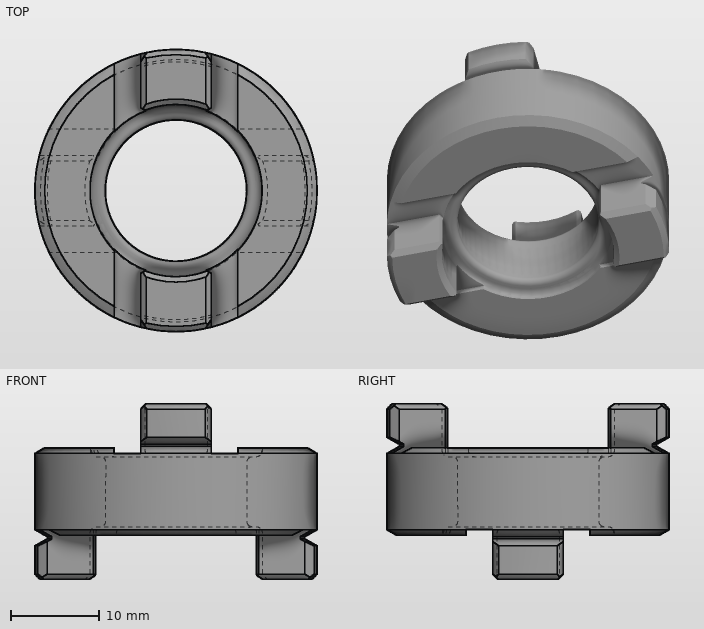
import cadquery as cq
import math

outer_radius = 16.0
total_height = 19.9
face_z = 4.95
rim_slope = math.tan(math.radians(30))
rim_chamfer_width = 1.12
rim_z = face_z - rim_chamfer_width * rim_slope

bore_radius = 8.0
counterbore_radius = 9.75
counterbore_depth = 1.0
floor_fillet = 0.7
bore_edge_fillet = 0.65

rebate_width = 14.0
lug_width = 8.0
lug_half_width = lug_width / 2
lug_top_z = total_height / 2
lug_chamfer = 0.6

inner_bevel_y = 9.38
outer_bevel_y = 14.6
inner_bevel_angle = math.radians(30)
outer_bevel_angle = math.radians(33)
bevel_cut_length = 1.92

groove_depth = 1.38
groove_floor_width = 0.25
groove_rise = groove_depth * rim_slope
groove_floor_z = rim_z + groove_rise
groove_floor_end_z = groove_floor_z + groove_floor_width


def revolve_section(section):
    """Close a section drawn in the XZ plane and revolve it about Z."""
    return section.close().revolve(360, (0, 0, 0), (0, 1, 0))


def make_disc():
    """Solid disc with its upper and lower rim chamfered."""
    rim_radius = outer_radius - rim_chamfer_width
    section = cq.Workplane("XZ").polyline([
        (0, -face_z),
        (rim_radius, -face_z),
        (outer_radius, -rim_z),
        (outer_radius, rim_z),
        (rim_radius, face_z),
        (0, face_z),
    ])
    return revolve_section(section)


def make_rebate():
    """Slot along Y that lowers the upper ring face to the rim level."""
    return cq.Workplane("XY").workplane(offset=rim_z).rect(rebate_width, 2 * outer_radius).extrude(face_z)


def make_bevel_cut(side_y, direction_x, direction_y, start_z):
    """Prism that bevels a vertical lug corner, from a point on the lug side along a direction."""
    end_x = lug_half_width + bevel_cut_length * direction_x
    end_y = side_y + bevel_cut_length * direction_y
    return (
        cq.Workplane("XY")
        .workplane(offset=start_z)
        .polyline([(lug_half_width, side_y), (end_x, end_y), (lug_half_width, end_y)])
        .close()
        .extrude(lug_top_z)
    )


def make_lug():
    """Upper lug on the +Y side, still reaching inwards to the bore."""
    end_profile = (
        cq.Workplane("XZ")
        .rect(lug_width, total_height)
        .extrude(-outer_radius)
        .edges("|Y and >Z")
        .chamfer(lug_chamfer)
    )
    section = cq.Workplane("XZ").polyline([
        (bore_radius, 0),
        (outer_radius, 0),
        (outer_radius, rim_z),
        (outer_radius - groove_depth, groove_floor_z),
        (outer_radius - groove_depth, groove_floor_end_z),
        (outer_radius, groove_floor_end_z + groove_rise),
        (outer_radius, lug_top_z - lug_chamfer),
        (outer_radius - lug_chamfer, lug_top_z),
        (bore_radius, lug_top_z),
    ])
    inner_bevel = make_bevel_cut(
        inner_bevel_y, -math.cos(inner_bevel_angle), -math.sin(inner_bevel_angle), rim_z
    )
    outer_bevel = make_bevel_cut(
        outer_bevel_y, -math.sin(outer_bevel_angle), math.cos(outer_bevel_angle), groove_floor_z
    )
    lug = end_profile.intersect(revolve_section(section))
    for bevel in (inner_bevel, outer_bevel):
        lug = lug.cut(bevel).cut(bevel.mirror("YZ"))
    return lug


def make_bore():
    """Upper half of the bore: rounded counterbore, lug inner faces and the chamfer at the lug tops."""
    floor_z = face_z - counterbore_depth
    floor_inner_radius = bore_radius + bore_edge_fillet
    floor_outer_radius = counterbore_radius - floor_fillet
    bore_end_z = floor_z - bore_edge_fillet
    wall_start_z = floor_z + floor_fillet
    arc_middle = math.sqrt(0.5)
    convex_middle = (
        floor_inner_radius - bore_edge_fillet * arc_middle,
        bore_end_z + bore_edge_fillet * arc_middle,
    )
    concave_middle = (
        floor_outer_radius + floor_fillet * arc_middle,
        wall_start_z - floor_fillet * arc_middle,
    )
    section = (
        cq.Workplane("XZ")
        .lineTo(bore_radius, 0)
        .lineTo(bore_radius, bore_end_z)
        .threePointArc(convex_middle, (floor_inner_radius, floor_z))
        .lineTo(floor_outer_radius, floor_z)
        .threePointArc(concave_middle, (counterbore_radius, wall_start_z))
        .lineTo(counterbore_radius, lug_top_z - lug_chamfer)
        .lineTo(counterbore_radius + lug_chamfer, lug_top_z)
        .lineTo(0, lug_top_z)
    )
    return revolve_section(section)


def to_lower_end(shape):
    """Turn an upper-end feature over and a quarter turn, so it runs along X below."""
    return shape.rotate((0, 0, 0), (1, 0, 0), 180).rotate((0, 0, 0), (0, 0, 1), 90)


rebate = make_rebate()
lug = make_lug()
lug_pair = lug.union(lug.mirror("XZ"))
bore = make_bore()

result = make_disc().cut(rebate).cut(to_lower_end(rebate))
result = result.union(lug_pair).union(to_lower_end(lug_pair))
result = result.cut(bore).cut(to_lower_end(bore))